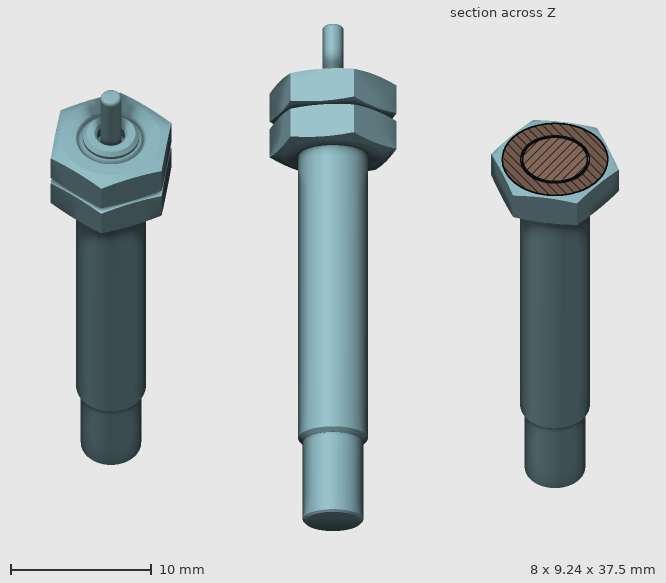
import cadquery as cq
import math

TOTAL_HEIGHT = 37.5
ROD_EXPOSED = 4.0
NUT_TOP = 33.0
NUT_THICKNESS = 2.7
SHOULDER_Z = 6.0

BARREL_DIAMETER = 5.0
TAIL_DIAMETER = 4.3
COLLAR_DIAMETER = 4.0
BARREL_CHAMFER = 0.3
TAIL_CHAMFER = 0.15
COLLAR_CHAMFER = 0.25
NECK_DIAMETER = 4.65

ROD_DIAMETER = 1.5
ROD_TIP_FILLET = 0.3
BORE_DIAMETER = 2.0
BORE_CHAMFER = 0.2
BORE_DEPTH = 1.0

NUT_COUNT = 2
NUT_FLATS = 8.0
NUT_FACE_DIAMETER = 7.0
NUT_CORNER_DROP = 0.3
NUT_BORE_DIAMETER = NECK_DIAMETER
NUT_BORE_CHAMFER = (BARREL_DIAMETER - NUT_BORE_DIAMETER) / 2

NUT_STACK_BOTTOM = NUT_TOP - NUT_COUNT * NUT_THICKNESS
COLLAR_TOP = TOTAL_HEIGHT - ROD_EXPOSED
BORE_FLOOR = COLLAR_TOP - BORE_DEPTH


def cylinder(diameter, bottom, top):
    return cq.Workplane("XY").workplane(offset=bottom).circle(diameter / 2).extrude(top - bottom)


def make_barrel():
    """Stepped barrel with a neck for the nuts, a collar and a plunger rod rising from its bore."""
    tail = cylinder(TAIL_DIAMETER, 0, SHOULDER_Z).faces("<Z").chamfer(TAIL_CHAMFER)
    main = cylinder(BARREL_DIAMETER, SHOULDER_Z, NUT_STACK_BOTTOM).faces("<Z").chamfer(BARREL_CHAMFER)
    neck = cylinder(NECK_DIAMETER, NUT_STACK_BOTTOM, NUT_TOP).faces(">Z").chamfer(NUT_BORE_CHAMFER)
    collar = cylinder(COLLAR_DIAMETER, NUT_TOP, COLLAR_TOP).faces(">Z").chamfer(COLLAR_CHAMFER)
    bore = cylinder(BORE_DIAMETER, BORE_FLOOR, COLLAR_TOP)
    bored = tail.union(main).union(neck).union(collar).cut(bore)
    bore_rim = cq.selectors.RadiusNthSelector(0)
    bored = bored.faces(">Z").edges(bore_rim).chamfer(BORE_CHAMFER)
    rod = cylinder(ROD_DIAMETER, BORE_FLOOR, TOTAL_HEIGHT).faces(">Z").edges().fillet(ROD_TIP_FILLET)
    return bored.union(rod)


def make_nut(bottom):
    """Hexagon nut with corners turned to a cone on both faces."""
    corner_radius = NUT_FLATS / math.sqrt(3)
    face_radius = NUT_FACE_DIAMETER / 2
    hexagon = (
        cq.Workplane("XY")
        .polygon(6, 2 * corner_radius)
        .extrude(NUT_THICKNESS)
        .rotate((0, 0, 0), (0, 0, 1), 30)
    )
    turned = (
        cq.Workplane("XZ")
        .moveTo(0, 0)
        .lineTo(face_radius, 0)
        .lineTo(corner_radius, NUT_CORNER_DROP)
        .lineTo(corner_radius, NUT_THICKNESS - NUT_CORNER_DROP)
        .lineTo(face_radius, NUT_THICKNESS)
        .lineTo(0, NUT_THICKNESS)
        .close()
        .revolve(360, (0, 0, 0), (0, 1, 0))
    )
    hole = cylinder(NUT_BORE_DIAMETER, 0, NUT_THICKNESS)
    nut = hexagon.intersect(turned).cut(hole)
    hole_rims = cq.selectors.RadiusNthSelector(0)
    nut = nut.faces("<Z or >Z").edges(hole_rims).chamfer(NUT_BORE_CHAMFER)
    return nut.translate((0, 0, bottom))


barrel = make_barrel()
nuts = [make_nut(NUT_STACK_BOTTOM + i * NUT_THICKNESS) for i in range(NUT_COUNT)]

result = cq.Compound.makeCompound([barrel.val(), *[nut.val() for nut in nuts]])